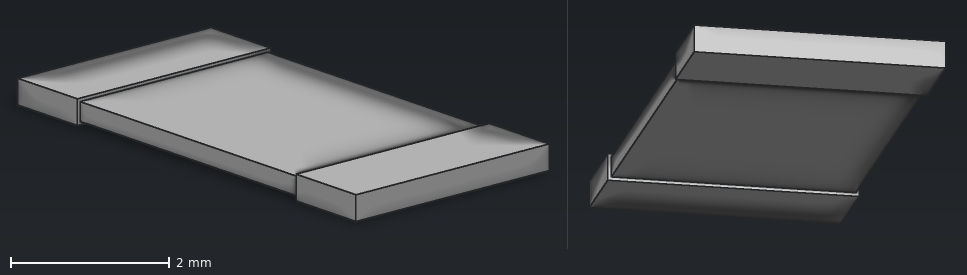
import cadquery as cq

LENGTH = 6.5
WIDTH = LENGTH / 2
HEIGHT = 0.36

TERMINAL_LENGTH = 1.15
TERMINAL_STEP = 0.047

BODY_LENGTH = LENGTH - 2 * TERMINAL_LENGTH
BODY_WIDTH = WIDTH - 2 * TERMINAL_STEP
BODY_HEIGHT = HEIGHT - 2 * TERMINAL_STEP


def make_body():
    """Thin flat plate centred on the origin."""
    return cq.Workplane("XY").box(BODY_LENGTH, BODY_WIDTH, BODY_HEIGHT)


def make_terminal(side):
    """Block against one end of the body; side is -1 or +1 along X."""
    center_x = side * (LENGTH - TERMINAL_LENGTH) / 2
    block = cq.Workplane("XY").box(TERMINAL_LENGTH, WIDTH, HEIGHT)
    return block.translate((center_x, 0, 0))


body = make_body()
terminals = [make_terminal(side) for side in (-1, 1)]

result = cq.Compound.makeCompound(
    [body.val(), *[terminal.val() for terminal in terminals]]
)